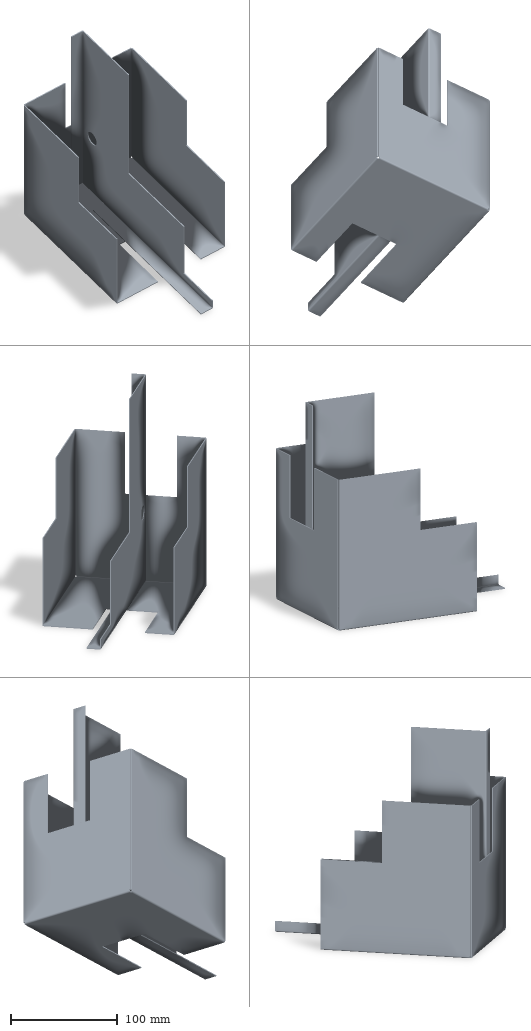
import cadquery as cq

sheet = 1.0
bend_inner = 0.5
bend_outer = bend_inner + sheet

housing_side = 147.0
housing_width = 127.0
step = 87.0
opening_start = 86.0
opening_front = 48.5
opening_width = 50.0
corner_relief = 2.0
corner_gap = 0.1

angle_reach = 206.0
angle_back = 69.0
flange_width = 14.0
upright_width = 74.0
base_height = 74.0
base_end = 161.0
toe_height = 11.5
flange_gap = 36.0
web_hole_diameter = 14.0
web_hole_x = 17.0
web_hole_z = 74.0


def box_between(near, far):
    """Box between two opposite corners."""
    size = [b - a for a, b in zip(near, far)]
    return cq.Workplane("XY").box(*size, centered=False).translate(near)


def tray(near, far, radius):
    """Box with its front, back and left floor edges rounded."""
    rounded_along_x = box_between(near, far).edges("|X and <Z").fillet(radius)
    rounded_along_y = box_between(near, far).edges("|Y and <X and <Z").fillet(radius)
    return rounded_along_x.intersect(rounded_along_y)


def make_housing():
    side, width = housing_side, housing_width
    outer = tray((0, 0, 0), (side, width, side), bend_outer)
    cavity = tray((sheet, sheet, sheet), (side, width - sheet, side), bend_inner)
    body = outer.cut(cavity)

    body = body.cut(box_between((step, 0, step), (side, width, side)))

    opening_back = opening_front + opening_width
    body = body.cut(box_between((opening_start, opening_front, 0), (side, opening_back, sheet)))
    body = body.cut(box_between((0, opening_front, opening_start), (sheet, opening_back, side)))

    seam = sheet + corner_gap
    relief = corner_relief
    for relief_y, seam_y in ((0, 0), (width - relief, width - seam)):
        body = body.cut(box_between((0, relief_y, 0), (relief, relief_y + relief, relief)))
        body = body.cut(box_between((0, seam_y, 0), (seam, seam_y + seam, side)))
    return body


def make_angle_plate():
    outline = [
        (sheet, sheet),
        (angle_reach, sheet),
        (angle_reach, toe_height),
        (base_end, toe_height),
        (base_end, base_height),
        (upright_width, base_height),
        (upright_width, angle_reach),
        (sheet, angle_reach),
    ]
    web_front = angle_back - sheet
    flange_front = angle_back - flange_width
    body = (
        cq.Workplane("XZ", origin=(0, angle_back, 0))
        .polyline(outline)
        .close()
        .extrude(flange_width)
        .edges(">Y and (<X or <Z)")
        .fillet(bend_outer)
    )

    flange_top = 2 * sheet
    hollow = (
        box_between((flange_top, flange_front, flange_top), (angle_reach, web_front, angle_reach))
        .edges(">Y and (<X or <Z)")
        .fillet(bend_inner)
    )
    body = body.cut(hollow)

    bend_end = sheet + bend_outer
    body = body.cut(box_between((0, flange_front, 0), (flange_gap, angle_back, bend_end)))
    body = body.cut(box_between((0, flange_front, 0), (bend_end, angle_back, flange_gap)))

    hole = (
        cq.Workplane("XZ", origin=(web_hole_x, angle_back, web_hole_z))
        .circle(web_hole_diameter / 2)
        .extrude(sheet)
    )
    return body.cut(hole)


housing = make_housing()
angle_plate = make_angle_plate()

result = cq.Compound.makeCompound([housing.val(), angle_plate.val()])